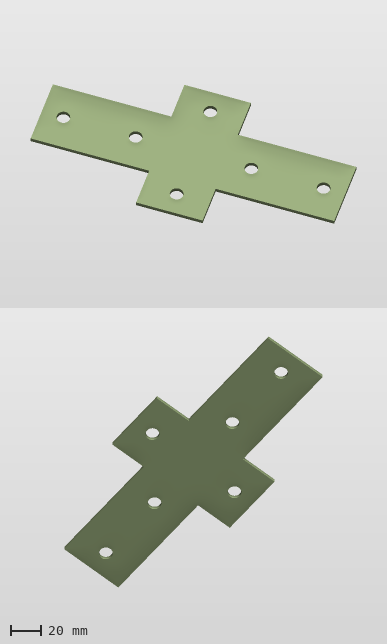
import cadquery as cq

length = 210.0
width = 100.0
thickness = 3.0
arm_width = 46.0
hole_diameter = 9.0
end_margin = 15.0
hole_pitch = 50.0

outer_hole_x = length / 2 - end_margin
inner_hole_x = outer_hole_x - hole_pitch
side_hole_y = width / 2 - end_margin


def cross_plate():
    """Flat cross made of a long bar along X and a short bar along Y."""
    long_bar = cq.Workplane("XY").box(length, arm_width, thickness)
    short_bar = cq.Workplane("XY").box(arm_width, width, thickness)
    return long_bar.union(short_bar)


def drill_holes(plate):
    """Drill the through holes, mirrored about the plate centre."""
    centres = []
    for side in (-1, 1):
        centres.append((side * outer_hole_x, 0))
        centres.append((side * inner_hole_x, 0))
        centres.append((0, side * side_hole_y))
    return plate.faces(">Z").workplane().pushPoints(centres).hole(hole_diameter)


result = drill_holes(cross_plate())